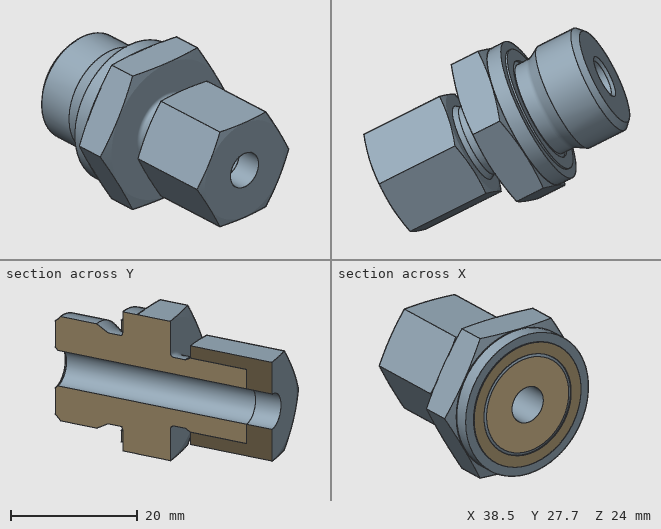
import cadquery as cq
import math


bore_radius = 3.0
bore_mouth_chamfer = 0.5

spigot_radius = 9.0
spigot_end_chamfer = 1.0
spigot_length = 7.4
neck_radius = 7.85
runout_angle = math.radians(30)
runout_fillet_radius = 1.25
neck_root_radius = 8.47
neck_root_flare_length = 0.25

hex_flats = 24.0
collar_face = 12.0
hex_start = 14.55
hex_end = 20.5
hex_chamfer_radius = 11.85

stem_radius = 5.93
stem_root_fillet = 0.6
stem_flare_start = 23.15

seal_radius = 10.47
seal_thickness = 0.3

nut_flats = 17.0
nut_start = 24.0
nut_end = 38.5
nut_chamfer_radius = 8.4
nut_socket_depth = 10.0

hex_chamfer_angle = math.radians(15)

seal_face = collar_face - seal_thickness
collar_radius = hex_flats / 2
fillet_drop = runout_fillet_radius * (1 - math.cos(runout_angle))
cone_end_radius = neck_radius + fillet_drop
cone_end = spigot_length + (spigot_radius - cone_end_radius) / math.tan(runout_angle)
neck_start = cone_end + runout_fillet_radius * math.sin(runout_angle)
fillet_mid_x = neck_start - runout_fillet_radius * math.sin(runout_angle / 2)
fillet_mid_radius = neck_radius + runout_fillet_radius * (1 - math.cos(runout_angle / 2))
stud_radius = stem_radius + (nut_start - stem_flare_start) * math.tan(runout_angle)
stud_end = nut_start + nut_socket_depth


def revolve_about_x(profile):
    """Revolve a closed XY profile, with Y as the radius, a full turn about X."""
    return profile.close().revolve(360, (0, 0, 0), (1, 0, 0))


def cylinder(radius, start, end):
    """Cylinder along X between two stations."""
    return cq.Workplane("YZ").workplane(offset=start).circle(radius).extrude(end - start)


def chamfered_hex(flats, start, end, face_radius):
    """Hexagonal prism along X, flats up and down, with both ends turned to a shallow cone."""
    corner_radius = flats / math.sqrt(3)
    setback = (corner_radius - face_radius) * math.tan(hex_chamfer_angle)
    prism = cq.Workplane("YZ").workplane(offset=start).polygon(6, 2 * corner_radius).extrude(end - start)
    envelope = revolve_about_x(
        cq.Workplane("XY")
        .moveTo(start, 0)
        .lineTo(start, face_radius)
        .lineTo(start + setback, corner_radius)
        .lineTo(end - setback, corner_radius)
        .lineTo(end, face_radius)
        .lineTo(end, 0)
    )
    return prism.intersect(envelope)


def make_spigot():
    """Chamfered threaded end, conical runout, neck, and the flare at the neck's root."""
    return revolve_about_x(
        cq.Workplane("XY")
        .moveTo(0, 0)
        .lineTo(0, spigot_radius - spigot_end_chamfer)
        .lineTo(spigot_end_chamfer, spigot_radius)
        .lineTo(spigot_length, spigot_radius)
        .lineTo(cone_end, cone_end_radius)
        .threePointArc((fillet_mid_x, fillet_mid_radius), (neck_start, neck_radius))
        .lineTo(collar_face - neck_root_flare_length, neck_radius)
        .lineTo(collar_face, neck_root_radius)
        .lineTo(collar_face, 0)
    )


def make_stem():
    """Stem behind the hexagon: filleted root, waist, flare, and the stud inside the nut."""
    mid_offset = stem_root_fillet * (1 - math.sqrt(0.5))
    return revolve_about_x(
        cq.Workplane("XY")
        .moveTo(hex_end, 0)
        .lineTo(hex_end, stem_radius + stem_root_fillet)
        .threePointArc(
            (hex_end + mid_offset, stem_radius + mid_offset),
            (hex_end + stem_root_fillet, stem_radius),
        )
        .lineTo(stem_flare_start, stem_radius)
        .lineTo(nut_start, stud_radius)
        .lineTo(stud_end, stud_radius)
        .lineTo(stud_end, 0)
    )


def make_fitting():
    """Fitting body: spigot, collar, hexagon and stem in one piece, bored through."""
    collar = cylinder(collar_radius, collar_face, hex_start)
    hexagon = chamfered_hex(hex_flats, hex_start, hex_end, hex_chamfer_radius)
    bore = revolve_about_x(
        cq.Workplane("XY")
        .moveTo(0, 0)
        .lineTo(0, bore_radius + bore_mouth_chamfer)
        .lineTo(bore_mouth_chamfer, bore_radius)
        .lineTo(stud_end, bore_radius)
        .lineTo(stud_end, 0)
    )
    return make_spigot().union(collar).union(hexagon).union(make_stem()).cut(bore)


def make_seal():
    """Flat sealing ring lying against the collar face."""
    hole = cylinder(neck_root_radius, seal_face, collar_face)
    return cylinder(seal_radius, seal_face, collar_face).cut(hole)


def make_nut():
    """Hexagonal nut with a socket for the stud and a bore through its end wall."""
    socket = cylinder(stud_radius, nut_start, stud_end)
    end_bore = cylinder(bore_radius, stud_end, nut_end)
    return chamfered_hex(nut_flats, nut_start, nut_end, nut_chamfer_radius).cut(socket).cut(end_bore)


fitting = make_fitting()
seal = make_seal()
nut = make_nut()

result = cq.Compound.makeCompound([fitting.val(), seal.val(), nut.val()])